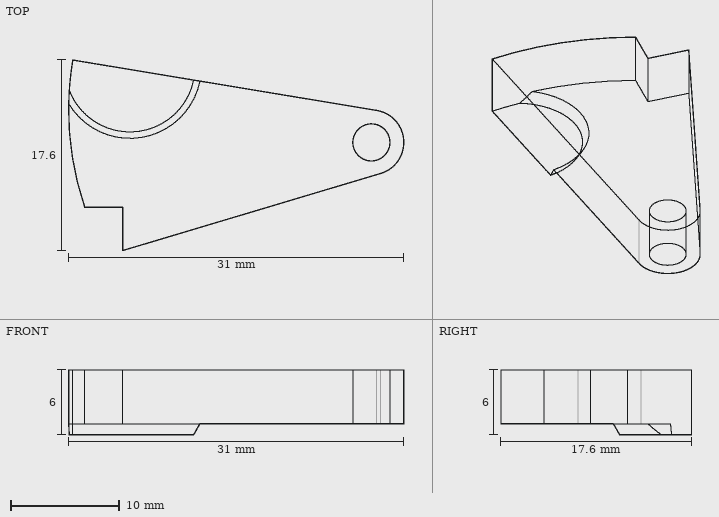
import cadquery as cq
import math

length = 31.0
overall_height = 6.0
plate_thickness = 5.0
pivot_radius = 3.0
pivot_hole_radius = 1.7

rim_radius = length - pivot_radius
rim_center_y = 3.0
top_corner_y = 7.62
notch_x = -23.0
notch_y = -6.0
low_corner_y = -10.0

pad_center = (-22.3, 6.97)
pad_radius = 6.6
pad_height = overall_height - plate_thickness
pad_taper = 30.0


def rim_point(y):
    """Point on the rim arc at the given Y."""
    return (-math.sqrt(rim_radius**2 - (y - rim_center_y) ** 2), y)


def pivot_tangent_point(corner, side):
    """Point where a line from corner touches the pivot boss; side is +1 (upper) or -1 (lower)."""
    direction_to_corner = math.atan2(corner[1], corner[0])
    half_angle = math.acos(pivot_radius / math.hypot(*corner))
    angle = direction_to_corner - side * half_angle
    return (pivot_radius * math.cos(angle), pivot_radius * math.sin(angle))


def sector_prism(bottom_z, height):
    """Prism with the arm outline, including the notch and rounded pivot end."""
    top_corner = rim_point(top_corner_y)
    low_corner = (notch_x, low_corner_y)
    return (
        cq.Workplane("XY", origin=(0, 0, bottom_z))
        .moveTo(*top_corner)
        .threePointArc((-rim_radius, rim_center_y), rim_point(notch_y))
        .lineTo(notch_x, notch_y)
        .lineTo(*low_corner)
        .lineTo(*pivot_tangent_point(low_corner, -1))
        .threePointArc((pivot_radius, 0), pivot_tangent_point(top_corner, 1))
        .close()
        .extrude(height)
    )


def tapered_pad():
    """Conical pad trimmed flush with the sides of the arm."""
    cone = (
        cq.Workplane("XY")
        .center(*pad_center)
        .circle(pad_radius)
        .extrude(-pad_height, taper=pad_taper)
    )
    return cone.intersect(sector_prism(-pad_height, pad_height))


plate = sector_prism(0, plate_thickness)
pivot_hole = cq.Workplane("XY").circle(pivot_hole_radius).extrude(plate_thickness)
result = plate.union(tapered_pad()).cut(pivot_hole)